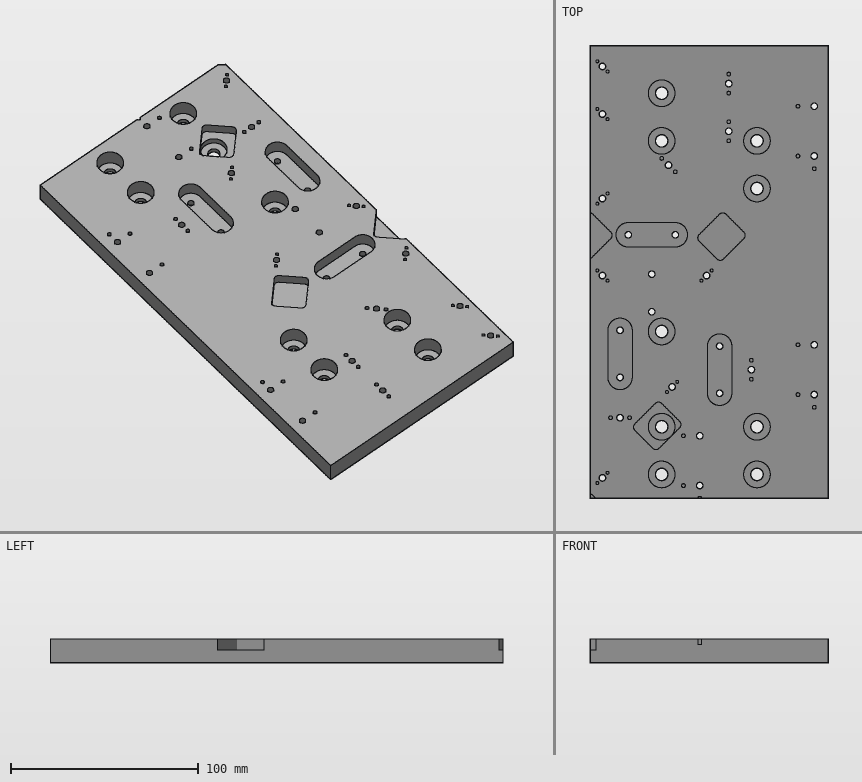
import cadquery as cq
import math

width = 127.0
length = 241.3
thickness = 12.8

grid_pitch = length / 9.5
mount_diameter = 6.5
counterbore_diameter = 14.2
counterbore_depth = 10.0
left_column = 1.5 * grid_pitch
right_column = left_column + 2 * grid_pitch
first_row = grid_pitch / 2
left_rows = [0, 1, 3, 7, 8]
right_rows = [0, 1, 6, 7]

screw_diameter = 3.4
pin_diameter = 2.0
small_pin_diameter = 1.6
pin_depth = 3.0

slot_length = 38.1
slot_width = 13.0
slot_depth = 8.5
slot_screw_spacing = 25.0

pocket_length = 20.3
pocket_width = 18.3
pocket_depth = 6.0
pocket_corner_radius = 2.5
pocket_turn = 45

wide_pin_offset = 5.0
narrow_pin_offset = 3.9
left_mount_x = 6.5
wide_mounts = [
    (73.8, 221.0, 90),
    (73.8, 221.0 - grid_pitch, 90),
    (41.7, 177.5, 135),
    (86.0, 68.5, 90),
    (16.0, 43.0, 0),
]
narrow_mounts = [
    (left_mount_x, 230.2, 135),
    (left_mount_x, 230.2 - grid_pitch, 135),
    (left_mount_x, 159.7, 45),
    (left_mount_x, 118.7, 135),
    (62.0, 118.7, 45),
    (43.7, 59.4, 45),
    (left_mount_x, 10.9, 45),
]

bracket_screw_spacing = 26.5
bracket_side_pin_offset = 8.7
bracket_end_pin_offset = 6.8
bracket_mounts = [(119.5, 182.5), (119.5, 55.3), (58.5, 6.8)]

single_screws = [(32.8, 99.5), (32.8, 119.5)]

left_pocket_x = -1.0
slots = [(32.8, 140.5, 0), (16.0, 77.0, 90), (69.0, 68.5, 90)]
pockets = [(left_pocket_x, -10.4), (left_pocket_x, 139.5), (70, 139.5), (35.7, 38.5)]


def along(x, y, direction, distance):
    """Point reached from (x, y) by moving a distance in a direction in degrees."""
    angle = math.radians(direction)
    return (x + distance * math.cos(angle), y + distance * math.sin(angle))


def both_sides(x, y, direction, distance):
    return [along(x, y, direction, distance), along(x, y, direction, -distance)]


def top_plane(depth):
    """Workplane sunk a depth below the top face."""
    return cq.Workplane("XY").workplane(offset=thickness - depth)


def round_cuts(points, diameter, depth=thickness):
    return top_plane(depth).pushPoints(points).circle(diameter / 2).extrude(depth)


def slot_cut(x, y, direction):
    return top_plane(slot_depth).center(x, y).slot2D(slot_length, slot_width, direction).extrude(slot_depth)


def pocket_cut(x, y):
    block = top_plane(pocket_depth).rect(pocket_length, pocket_width).extrude(pocket_depth)
    block = block.edges("|Z").fillet(pocket_corner_radius)
    return block.rotate((0, 0, 0), (0, 0, 1), pocket_turn).translate((x, y, 0))


mount_points = [(left_column, first_row + row * grid_pitch) for row in left_rows]
mount_points += [(right_column, first_row + row * grid_pitch) for row in right_rows]

screw_points = list(single_screws)
pin_points = []
small_pin_points = []

for x, y, direction in wide_mounts:
    screw_points.append((x, y))
    pin_points += both_sides(x, y, direction, wide_pin_offset)

for x, y, direction in narrow_mounts:
    screw_points.append((x, y))
    small_pin_points += both_sides(x, y, direction, narrow_pin_offset)

for x, y in bracket_mounts:
    for screw_y in [y, y + bracket_screw_spacing]:
        screw_points.append((x, screw_y))
        pin_points.append((x - bracket_side_pin_offset, screw_y))
    pin_points.append((x, y - bracket_end_pin_offset))

for x, y, direction in slots:
    screw_points += both_sides(x, y, direction, slot_screw_spacing / 2)

result = cq.Workplane("XY").box(width, length, thickness, centered=False)
result = result.cut(round_cuts(mount_points, mount_diameter))
result = result.cut(round_cuts(mount_points, counterbore_diameter, counterbore_depth))
result = result.cut(round_cuts(screw_points, screw_diameter))
result = result.cut(round_cuts(pin_points, pin_diameter, pin_depth))
result = result.cut(round_cuts(small_pin_points, small_pin_diameter, pin_depth))
for slot in slots:
    result = result.cut(slot_cut(*slot))
for pocket in pockets:
    result = result.cut(pocket_cut(*pocket))